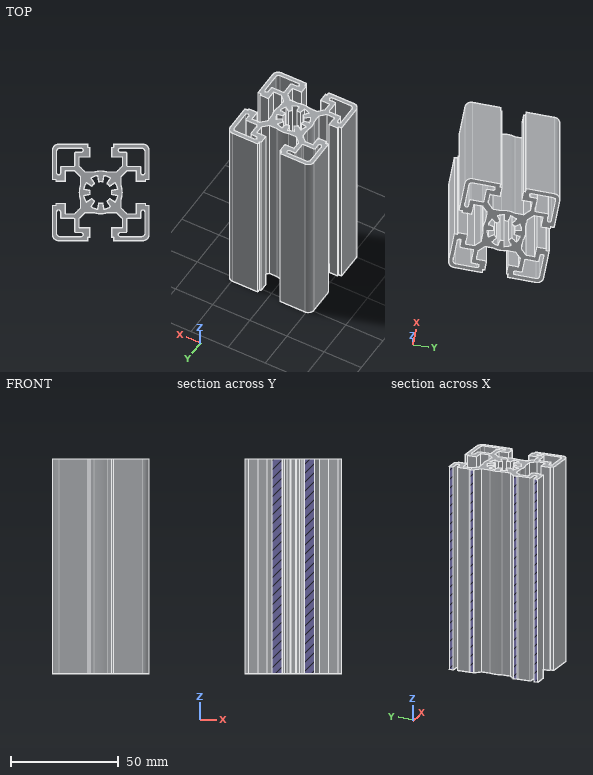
import cadquery as cq
import math

LENGTH = 100.0
SIDE = 45.0
CORNER_RADIUS = 3.0
HALF_SIDE = SIDE / 2

MOUTH_HALF_WIDTH = 6.0
THROAT_HALF_WIDTH = 5.1
MOUTH_DEPTH = 1.6
LIP_BOTTOM = 16.4
SLOT_HALF_WIDTH = 10.0
CORE_HALF_SIDE = 9.5
FLOOR_BEVEL = 2.7

WALL = 2.0
CHAMBER_INNER = 12.1
ARM_TIP = 8.2
CHAMBER_STEP = 18.7
CHAMBER_CORNER_RADIUS = 1.5
STEP_RADIUS = 0.5

HUB_RADIUS = 10.0
BORE_RADIUS = 5.0
POCKET_RADIUS = 8.0
POCKET_COUNT = 8
POCKET_PITCH = 360 / POCKET_COUNT
POCKET_ANGLE = 23.0

QUARTER_TURNS = (0, 90, 180, 270)


def turned(solid, angle):
    return solid.rotate((0, 0, 0), (0, 0, 1), angle)


def polar(radius, angle):
    return radius * math.cos(math.radians(angle)), radius * math.sin(math.radians(angle))


def slot_cutter():
    """T-slot opening on the +Y side, with a bevelled floor."""
    mouth_floor = HALF_SIDE - MOUTH_DEPTH
    right_half = [
        (MOUTH_HALF_WIDTH, HALF_SIDE),
        (MOUTH_HALF_WIDTH, mouth_floor),
        (THROAT_HALF_WIDTH, mouth_floor),
        (THROAT_HALF_WIDTH, LIP_BOTTOM),
        (SLOT_HALF_WIDTH, LIP_BOTTOM),
        (SLOT_HALF_WIDTH, CORE_HALF_SIDE + FLOOR_BEVEL),
        (SLOT_HALF_WIDTH - FLOOR_BEVEL, CORE_HALF_SIDE),
    ]
    left_half = [(-x, y) for x, y in reversed(right_half)]
    return cq.Workplane("XY").polyline(right_half + left_half).close().extrude(LENGTH)


def round_vertical_edge(solid, x, y, radius):
    nearest_edge = cq.selectors.NearestToPointSelector((x, y, LENGTH / 2))
    return solid.edges(nearest_edge).fillet(radius)


def chamber_cutter():
    """Hollow in the +X +Y corner: a square with a narrow, round-ended arm behind each lip."""
    outer = HALF_SIDE - WALL
    arm_middle = (outer + CHAMBER_STEP) / 2
    arm_end_centre = ARM_TIP + (outer - CHAMBER_STEP) / 2
    chamber = (
        cq.Workplane("XY")
        .moveTo(CHAMBER_INNER, CHAMBER_INNER)
        .lineTo(CHAMBER_STEP, CHAMBER_INNER)
        .lineTo(CHAMBER_STEP, arm_end_centre)
        .threePointArc((arm_middle, ARM_TIP), (outer, arm_end_centre))
        .lineTo(outer, outer)
        .lineTo(arm_end_centre, outer)
        .threePointArc((ARM_TIP, arm_middle), (arm_end_centre, CHAMBER_STEP))
        .lineTo(CHAMBER_INNER, CHAMBER_STEP)
        .close()
        .extrude(LENGTH)
    )
    chamber = round_vertical_edge(chamber, outer, outer, CHAMBER_CORNER_RADIUS)
    chamber = round_vertical_edge(chamber, CHAMBER_INNER, CHAMBER_INNER, STEP_RADIUS)
    chamber = round_vertical_edge(chamber, CHAMBER_STEP, CHAMBER_INNER, STEP_RADIUS)
    return round_vertical_edge(chamber, CHAMBER_INNER, CHAMBER_STEP, STEP_RADIUS)


def pocket_cutter():
    """Sector with radial sides, centred on +X, reaching past the bore wall."""
    half_angle = POCKET_ANGLE / 2
    return (
        cq.Workplane("XY")
        .lineTo(*polar(POCKET_RADIUS, -half_angle))
        .threePointArc((POCKET_RADIUS, 0), polar(POCKET_RADIUS, half_angle))
        .close()
        .extrude(LENGTH)
    )


profile = cq.Workplane("XY").rect(SIDE, SIDE).extrude(LENGTH).edges("|Z").fillet(CORNER_RADIUS)

slot = slot_cutter()
chamber = chamber_cutter()
for angle in QUARTER_TURNS:
    profile = profile.cut(turned(slot, angle)).cut(turned(chamber, angle))

profile = profile.union(cq.Workplane("XY").circle(HUB_RADIUS).extrude(LENGTH))
profile = profile.cut(cq.Workplane("XY").circle(BORE_RADIUS).extrude(LENGTH))

pocket = pocket_cutter()
for index in range(POCKET_COUNT):
    profile = profile.cut(turned(pocket, (index + 0.5) * POCKET_PITCH))

result = profile